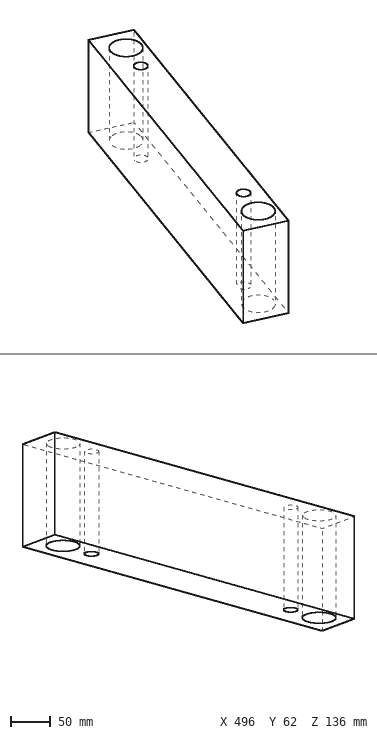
import cadquery as cq

length = 496.0
width = 62.0
height = 136.0

hole_line_y = 5.0
large_diameter = 42.0
large_spacing = 424.0
small_diameter = 18.0
small_spacing = 330.0


def hole_pair(body, diameter, spacing):
    """Drill two through holes, spaced evenly about the middle of the block."""
    centers = [(side * spacing / 2, hole_line_y) for side in (-1, 1)]
    return body.faces(">Z").workplane(origin=(0, 0, 0)).pushPoints(centers).hole(diameter)


block = cq.Workplane("XY").box(length, width, height)
block = hole_pair(block, large_diameter, large_spacing)
result = hole_pair(block, small_diameter, small_spacing)